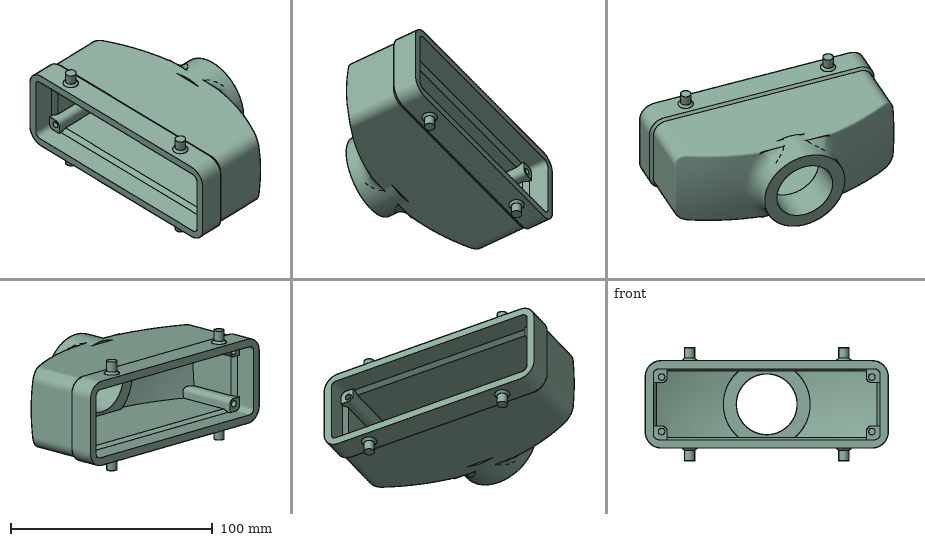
import cadquery as cq
import math


RIM_X, RIM_Z, RIM_RADIUS = 120.5, 43.4, 8.1
RIM_TOP = 12.8
TAPER_LENGTH = 1.5

SHELL_X, SHELL_Z, SHELL_RADIUS = 117.4, 41.1, 6.6
WALL = 4.1
ROOF_RADIUS = 114.5
ROOF_APEX = 58.7
ROOF_EDGE_FILLET = 1.2

NECK_DIAMETER = 43.0
NECK_BORE = 30.0
NECK_BOTTOM = 50.1
NECK_TOP = 68.0
NECK_FILLET = 7.5

OPENING_RADIUS = 2.9
CAVITY_TAPER_START = 11.0
CAVITY_TAPER_LENGTH = 3.1
POST_START = 9.6
POST_SIZE = 6.9
POST_RADIUS = 2.8
POST_HOLE = 3.3
POST_HOLE_INSET = 4.1
POST_HOLE_DEPTH = 18.1

PIN_DIAMETER = 5.2
PIN_FOOT_DIAMETER = 7.6
PIN_TIP = 56.0 / 2
PIN_X, PIN_Y = 38.2, 6.5

SIDES = (-1, 1)
NECK_RADIUS = NECK_DIAMETER / 2
ROOF_CENTER = ROOF_APEX - ROOF_RADIUS

FLARE_SHARE = ROOF_RADIUS / (ROOF_RADIUS + NECK_FILLET)
FLARE_FOOT_RADIUS = (NECK_RADIUS + NECK_FILLET) * FLARE_SHARE
FLARE_BASE = ROOF_CENTER + math.sqrt(ROOF_RADIUS**2 - FLARE_FOOT_RADIUS**2)
FLARE_ROOT = 2.4
FLARE_TIP = 0.06
FLARE_STEPS = 6

OPENING_X, OPENING_Z = RIM_X - 2 * WALL, RIM_Z - 2 * WALL


def plane_at(y):
    """Workplane across the hood at height y, with local axes -X and Z and its normal along +Y."""
    return cq.Workplane(cq.Plane(origin=(0, y, 0), xDir=(-1, 0, 0), normal=(0, 1, 0)))


def stepped_block(wide, narrow, taper_start, taper_length, top):
    """Wide rounded block from Y = 0, a short taper, then a narrow rounded block up to top.

    wide and narrow are each (size in X, size in Z, corner radius).
    """

    def outline(size):
        size_x, size_z, radius = size
        return cq.Sketch().rect(size_x, size_z).vertices().fillet(radius)

    taper_end = taper_start + taper_length
    narrow_on_top = outline(narrow).moved(cq.Location(cq.Vector(0, 0, taper_length)))
    lower = plane_at(0).placeSketch(outline(wide)).extrude(taper_start)
    taper = plane_at(taper_start).placeSketch(outline(wide), narrow_on_top).loft(ruled=True)
    upper = plane_at(taper_end).placeSketch(outline(narrow)).extrude(top - taper_end)
    return lower.union(taper).union(upper)


def dome(radius):
    """Ball about the roof centre, turned about the neck axis."""
    return (
        cq.Workplane("XY")
        .moveTo(0, ROOF_CENTER - radius)
        .threePointArc((radius, ROOF_CENTER), (0, ROOF_CENTER + radius))
        .close()
        .revolve(360, (0, 0, 0), (0, 1, 0))
    )


def neck_cylinder(diameter):
    return plane_at(NECK_BOTTOM).circle(diameter / 2).extrude(NECK_TOP - NECK_BOTTOM)


def make_sharp_shell(top):
    """Rim, shell and domed roof with unrounded edges, cut off flat at height top."""
    rim = (RIM_X, RIM_Z, RIM_RADIUS)
    shell = (SHELL_X, SHELL_Z, SHELL_RADIUS)
    return stepped_block(rim, shell, RIM_TOP, TAPER_LENGTH, top).intersect(dome(ROOF_RADIUS))


def roof_edge_trim():
    """Material that rounding the roof edge removes."""
    shell = make_sharp_shell(ROOF_APEX)
    roof_edges = shell.faces("%SPHERE").edges()
    rounded = shell.newObject(roof_edges.vals()).fillet(ROOF_EDGE_FILLET)
    return shell.cut(rounded).cut(neck_cylinder(NECK_DIAMETER))


def make_shell_with_neck():
    """Shell and neck joined, with fillets where the neck wall stands out of the long sides."""
    joined = make_sharp_shell(FLARE_BASE).union(neck_cylinder(NECK_DIAMETER))
    corner_region = cq.selectors.BoxSelector(
        (-NECK_RADIUS, NECK_BOTTOM, -RIM_Z), (NECK_RADIUS, FLARE_BASE, RIM_Z)
    )
    corners = joined.edges("|Y").edges(corner_region)
    return corners.fillet(NECK_FILLET).cut(roof_edge_trim())


def flare_section(foot_radius, angle):
    """Radial wire of the flare, at an angle about the neck axis turned from +X toward +Z.

    Its concave arc rises from the foot and ends tangent to the neck wall.
    """
    center_radius = NECK_RADIUS + NECK_FILLET
    sweep = math.acos((center_radius - foot_radius) / NECK_FILLET)
    top = FLARE_BASE + NECK_FILLET * math.sin(sweep)
    arc_middle = (
        center_radius - NECK_FILLET * math.cos(sweep / 2),
        top - NECK_FILLET * math.sin(sweep / 2),
    )
    root = NECK_RADIUS - FLARE_ROOT
    return (
        cq.Workplane("XY")
        .moveTo(root, FLARE_BASE)
        .lineTo(foot_radius, FLARE_BASE)
        .threePointArc(arc_middle, (NECK_RADIUS, top))
        .lineTo(root, top)
        .close()
        .val()
        .rotate(cq.Vector(0, 0, 0), cq.Vector(0, 1, 0), -math.degrees(angle))
    )


def make_flare():
    """Flare between neck and roof: round over the ends, narrowing along the long sides."""
    side_z = SHELL_Z / 2
    round_end = math.asin(side_z / FLARE_FOOT_RADIUS)
    side_end = math.asin(side_z / (NECK_RADIUS + FLARE_TIP))
    round_part = (
        cq.Workplane(flare_section(FLARE_FOOT_RADIUS, -round_end))
        .toPending()
        .revolve(math.degrees(2 * round_end), (0, 0, 0), (0, -1, 0))
    )
    angles = [
        round_end + (side_end - round_end) * step / FLARE_STEPS for step in range(FLARE_STEPS + 1)
    ]
    sections = [flare_section(side_z / math.sin(angle), angle) for angle in angles]
    side_part = cq.Workplane(cq.Solid.makeLoft(sections))
    half = round_part.union(side_part).union(side_part.mirror("XY"))
    return half.union(half.mirror("YZ"))


def corner_points(inset):
    """Points at the given inset from both walls in each corner of the opening."""
    x, z = OPENING_X / 2 - inset, OPENING_Z / 2 - inset
    return [(side_x * x, side_z * z) for side_x in SIDES for side_z in SIDES]


def make_cavity():
    """Hollow of the hood, leaving the neck pad and the four screw posts standing."""
    opening = (OPENING_X, OPENING_Z, OPENING_RADIUS)
    chamber = (SHELL_X - 2 * WALL, SHELL_Z - 2 * WALL, SHELL_RADIUS - WALL)
    hollow = stepped_block(opening, chamber, CAVITY_TAPER_START, CAVITY_TAPER_LENGTH, ROOF_APEX)
    posts = (
        plane_at(POST_START)
        .pushPoints(corner_points(POST_SIZE / 2))
        .rect(POST_SIZE, POST_SIZE)
        .extrude(ROOF_APEX - POST_START)
    )
    inner_x, inner_z = OPENING_X / 2 - POST_SIZE / 2, OPENING_Z / 2 - POST_SIZE / 2
    inner_region = cq.selectors.BoxSelector(
        (-inner_x, POST_START, -inner_z), (inner_x, ROOF_APEX, inner_z)
    )
    posts = posts.edges("|Y").edges(inner_region).fillet(POST_RADIUS)
    return hollow.intersect(dome(ROOF_RADIUS - WALL)).cut(posts).cut(neck_cylinder(NECK_DIAMETER))


def make_housing():
    post_holes = (
        plane_at(POST_START)
        .pushPoints(corner_points(POST_HOLE_INSET))
        .circle(POST_HOLE / 2)
        .extrude(POST_HOLE_DEPTH)
    )
    return (
        make_shell_with_neck()
        .union(make_flare())
        .cut(make_cavity())
        .cut(neck_cylinder(NECK_BORE))
        .cut(post_holes)
    )


def make_pin(x, side):
    """Pin with a 45 degree conical foot, standing on the rim face on the given Z side."""
    foot_radius, radius = PIN_FOOT_DIAMETER / 2, PIN_DIAMETER / 2
    foot_z = RIM_Z / 2
    pin = (
        cq.Workplane("XZ")
        .moveTo(0, foot_z)
        .lineTo(foot_radius, foot_z)
        .lineTo(radius, foot_z + foot_radius - radius)
        .lineTo(radius, PIN_TIP)
        .lineTo(0, PIN_TIP)
        .close()
        .revolve(360, (0, 0, 0), (0, 1, 0))
    )
    if side < 0:
        pin = pin.mirror("XY")
    return pin.translate((x, PIN_Y, 0))


housing = make_housing().solids()
pins = [make_pin(side_x * PIN_X, side_z) for side_x in SIDES for side_z in SIDES]

result = cq.Compound.makeCompound([housing.val(), *(pin.val() for pin in pins)])